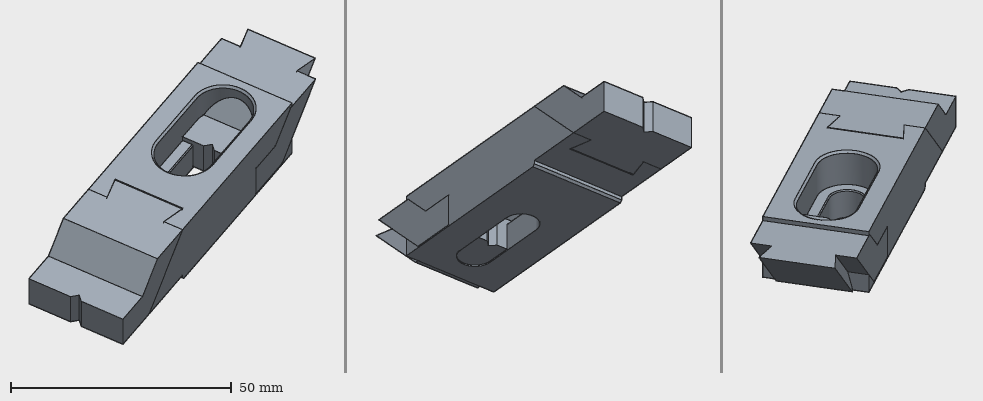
import cadquery as cq

width = 25.0
overall_length = 89.45
overall_height = 16.0

jaw_height = 14.6
tip_length = 8.5
tip_height = 8.05
shoulder_top_y = 25.9
tongue_length = 5.6
tongue_base_width = 15.0
tongue_end_width = 17.9
notch_depth = 1.4

housing_back_y = 73.5
bottom_chamfer = 0.5
socket_end_gap = 0.3

slot_center_y = 55.6
slot_length = 30.6
slot_width = 13.95
slot_floor_z = 7.25
slot_rim_chamfer = 0.5
inner_slot_width = 8.4
inner_slot_length = 25.6
inner_rim_chamfer = 0.3

front_jaw_z = overall_height - jaw_height
rear_jaw_z = 0.4
rear_jaw_y = overall_length - tongue_length - shoulder_top_y


def side_profile(points):
    """Extrude a (y, z) outline across the full width, centred on X = 0."""
    return cq.Workplane("YZ").polyline(points).close().extrude(width / 2, both=True)


def dovetail(end_gap=0.0):
    """Dovetail tongue sloping back at 45 degrees, widest at its rear end."""
    half_base = tongue_base_width / 2
    half_end = tongue_end_width / 2
    end_y = tongue_length + end_gap
    section = [(-half_base, 0), (half_base, 0), (half_end, end_y), (-half_end, end_y)]
    bottom_y = shoulder_top_y - jaw_height
    return (
        cq.Workplane("XY", origin=(0, bottom_y, 0)).polyline(section).close()
        .workplane(offset=jaw_height).center(0, jaw_height).polyline(section).close()
        .loft(ruled=True)
    )


def make_jaw():
    """Jaw with its tip at Y = 0 and its underside at Z = 0."""
    step_top_y = tip_length + jaw_height - tip_height
    body = side_profile([
        (0, 0),
        (0, tip_height),
        (tip_length, tip_height),
        (step_top_y, jaw_height),
        (shoulder_top_y, jaw_height),
        (shoulder_top_y - jaw_height, 0),
    ])
    notch = (
        cq.Workplane("XY")
        .polyline([(-notch_depth, 0), (notch_depth, 0), (0, notch_depth)]).close()
        .extrude(tip_height)
    )
    return body.union(dovetail()).cut(notch)


def slot_cutter(length, slot_w, bottom_z, top_z, rim_chamfer):
    """Round-ended slot along Y whose top rim widens by a 45 degree chamfer."""
    slot = (
        cq.Workplane("XY", origin=(0, slot_center_y, bottom_z))
        .slot2D(length, slot_w, 90).extrude(top_z - bottom_z)
    )
    rim = (
        cq.Workplane("XY", origin=(0, slot_center_y, top_z))
        .slot2D(length + 2 * rim_chamfer, slot_w + 2 * rim_chamfer, 90)
        .extrude(-rim_chamfer, taper=45)
    )
    return slot.union(rim)


def make_housing(rear_jaw):
    """Slotted housing with a front dovetail socket, recessed for the rear jaw."""
    body = side_profile([
        (shoulder_top_y, overall_height),
        (shoulder_top_y - jaw_height, front_jaw_z),
        (shoulder_top_y, front_jaw_z),
        (shoulder_top_y, bottom_chamfer),
        (shoulder_top_y + bottom_chamfer, 0),
        (housing_back_y, 0),
        (housing_back_y, overall_height),
    ])
    socket = dovetail(socket_end_gap).translate((0, 0, front_jaw_z))
    upper_slot = slot_cutter(slot_length, slot_width, slot_floor_z, overall_height, slot_rim_chamfer)
    lower_slot = slot_cutter(inner_slot_length, inner_slot_width, 0, slot_floor_z, inner_rim_chamfer)
    return body.cut(socket).cut(upper_slot).cut(lower_slot).cut(rear_jaw)


jaw_offsets = [(0, 0, front_jaw_z), (0, rear_jaw_y, rear_jaw_z)]
front_jaw, rear_jaw = [make_jaw().translate(offset) for offset in jaw_offsets]
housing = make_housing(rear_jaw)

result = cq.Compound.makeCompound([housing.val(), front_jaw.val(), rear_jaw.val()])